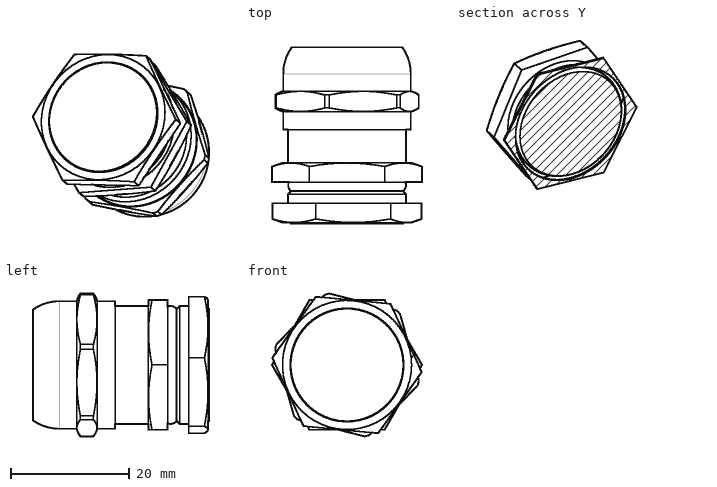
import cadquery as cq
import math

LENGTH = 29.83
NUT_FRONT = 0.18
NUT_BACK = 3.5
GROOVE_CHAMFER_START = 5.0
GROOVE_FLOOR_START = 5.5
LOCKNUT_FRONT = 7.05
LOCKNUT_BACK = 10.3
COLLAR_FRONT = 15.9
HEX_FRONT = 18.95
HEX_BACK = 22.4
DOME_START = 25.4

PLUG_DIAMETER = 19.0
THREAD_DIAMETER = 20.0
GROOVE_DIAMETER = 19.0
COLLAR_DIAMETER = 21.6
DOME_END_DIAMETER = 18.73
SEAL_SECTION_RADIUS = 1.25
SEAL_CENTRE = 6.53
SEAL_EMBED = 0.1
NUT_BORE_DIAMETER = 19.2
NUT_BORE_DEPTH = 0.15
LOCKNUT_BORE_DIAMETER = 21.0
LOCKNUT_BORE_DEPTH = 0.45

ACROSS_FLATS = 21.98
ACROSS_CORNERS = ACROSS_FLATS / math.cos(math.radians(30))
BODY_HEX_CORNER_DIAMETER = 24.9
CHAMFER_FACE_DIAMETER = 21.85
CHAMFER_DEPTH = 0.63
NUT_TURN = -5.5
LOCKNUT_TURN = 0.0
BODY_HEX_TURN = -14.2


def turned_body():
    """Plug, threaded stem, groove, collar and dome as one revolved profile."""
    plug = PLUG_DIAMETER / 2
    thread = THREAD_DIAMETER / 2
    groove = GROOVE_DIAMETER / 2
    collar = COLLAR_DIAMETER / 2
    dome_end = DOME_END_DIAMETER / 2
    return (
        cq.Workplane("XY")
        .lineTo(plug, 0)
        .lineTo(plug, NUT_BACK)
        .lineTo(thread, NUT_BACK)
        .lineTo(thread, GROOVE_CHAMFER_START)
        .lineTo(groove, GROOVE_FLOOR_START)
        .lineTo(groove, LOCKNUT_FRONT + LOCKNUT_BORE_DEPTH)
        .lineTo(thread, LOCKNUT_FRONT + LOCKNUT_BORE_DEPTH)
        .lineTo(thread, COLLAR_FRONT)
        .lineTo(collar, COLLAR_FRONT)
        .lineTo(collar, DOME_START)
        .tangentArcPoint((dome_end, LENGTH), relative=False)
        .lineTo(0, LENGTH)
        .close()
        .revolve(360, (0, 0), (0, 1))
    )


def seal_ring():
    """Round sealing ring that sits in the groove, partly inside the locknut."""
    outer = THREAD_DIAMETER / 2
    centre = outer - SEAL_SECTION_RADIUS
    inner = GROOVE_DIAMETER / 2 - SEAL_EMBED
    flank = math.sqrt(SEAL_SECTION_RADIUS**2 - (inner - centre) ** 2)
    return (
        cq.Workplane("XY")
        .moveTo(inner, SEAL_CENTRE - flank)
        .threePointArc((outer, SEAL_CENTRE), (inner, SEAL_CENTRE + flank))
        .close()
        .revolve(360, (0, 0), (0, 1))
    )


def hexagon(front, back, turn, corner_diameter, chamfer_front, chamfer_back):
    """Hexagonal prism along Y with its corners trimmed by a turned, coned envelope."""
    prism = (
        cq.Workplane("XZ", origin=(0, front, 0))
        .polygon(6, ACROSS_CORNERS)
        .extrude(front - back)
        .rotate((0, 0, 0), (0, 1, 0), -turn)
    )
    corner = corner_diameter / 2
    face = CHAMFER_FACE_DIAMETER / 2
    envelope = cq.Workplane("XY").moveTo(0, front)
    if chamfer_front:
        envelope = envelope.lineTo(face, front).lineTo(corner, front + CHAMFER_DEPTH)
    else:
        envelope = envelope.lineTo(corner, front)
    if chamfer_back:
        envelope = envelope.lineTo(corner, back - CHAMFER_DEPTH).lineTo(face, back)
    else:
        envelope = envelope.lineTo(corner, back)
    envelope = envelope.lineTo(0, back).close().revolve(360, (0, front), (0, back))
    return prism.intersect(envelope)


def bored(nut, front, diameter, depth):
    """Open a shallow round recess in the front face of a nut."""
    recess = cq.Workplane("XZ", origin=(0, front, 0)).circle(diameter / 2).extrude(-depth)
    return nut.cut(recess)


front_nut = bored(
    hexagon(NUT_FRONT, NUT_BACK, NUT_TURN, ACROSS_CORNERS, True, False),
    NUT_FRONT,
    NUT_BORE_DIAMETER,
    NUT_BORE_DEPTH,
)
locknut = bored(
    hexagon(LOCKNUT_FRONT, LOCKNUT_BACK, LOCKNUT_TURN, ACROSS_CORNERS, False, True),
    LOCKNUT_FRONT,
    LOCKNUT_BORE_DIAMETER,
    LOCKNUT_BORE_DEPTH,
)
body_hex = hexagon(HEX_FRONT, HEX_BACK, BODY_HEX_TURN, BODY_HEX_CORNER_DIAMETER, True, True)

result = (
    turned_body()
    .union(seal_ring())
    .union(front_nut)
    .union(locknut)
    .union(body_hex)
)